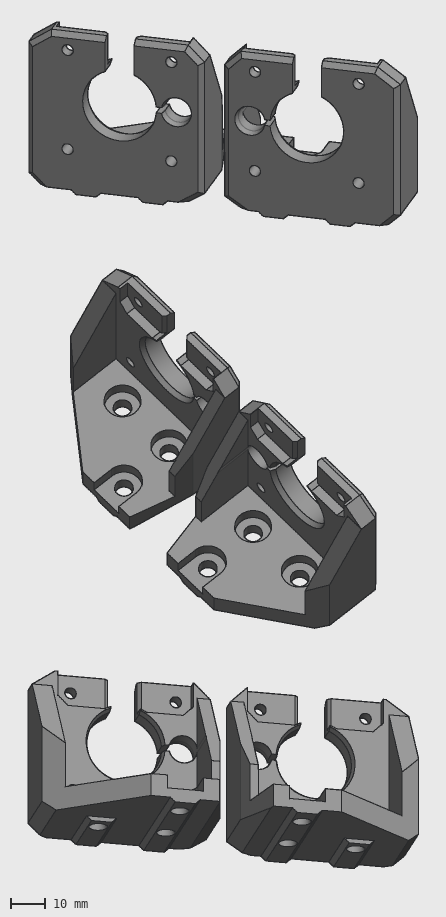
import cadquery as cq

pair_width = 111.0
bracket_gap = 6.0
depth = 39.2
height = 50.2
outer_x = -pair_width / 2
inner_x = -bracket_gap / 2

rib_height = 1.3
base_top = 8.1
rib_foot_width = 8.9
rib_tip_width = 6.0
short_rib_length = 19.4

straight_depth = 19.2
back_outer_x = outer_x + 27.4
back_inner_x = inner_x - 5.0

top_outer_cut = (6.8, 4.7)
top_inner_cut = (4.9, 4.8)
bottom_outer_cut = (3.5, 3.3)
bottom_inner_cut = (4.7, 3.0)
front_chamfer = 1.5

plate_thickness = 7.0
wall_top = height - top_outer_cut[1]
wall_depth = 25.0
wall_end_height = 19.4
outer_wall = 5.9
inner_wall = 3.9

motor_x = outer_x + 27.5
motor_z = 29.4
bore_diameter = 22.0
bore_bevel_depth = 1.7
bore_bevel = 0.7
motor_screw_pitch = 31.0
motor_screw_diameter = 3.3
slot_width = 8.7

recess_width = 40.0
recess_floor_z = 39.8
recess_corner = 3.0
web_thickness = 4.0
rim_radius = 12.1
slot_bevel = 1.0

rod_x = outer_x + 44.5
rod_diameter = 8.3
rod_mouth_diameter = 9.0
rod_mouth_depth = 2.5
slit_width = 1.8

screw_pitch_x = 20.0
screw_outer_x = outer_x + 17.5
screw_inner_x = screw_outer_x + screw_pitch_x
front_screw_y = 15.0
back_screw_y = 32.4
screw_diameter = 5.3
screw_head_diameter = 10.5
screw_head_depth = 4.0


def box(x_range, y_range, z_range):
    """Box between pairs of limits along X, Y and Z."""
    size = [limits[1] - limits[0] for limits in (x_range, y_range, z_range)]
    corner = (x_range[0], y_range[0], z_range[0])
    return cq.Workplane("XY").box(*size, centered=False).translate(corner)


def along_y(points, y_start, y_end):
    """Prism along +Y with an outline of (x, z) points."""
    prism = cq.Workplane("XZ").polyline(points).close().extrude(y_start - y_end)
    return prism.translate((0, y_start, 0))


def round_along_y(x, z, radius, y_start, y_end):
    """Round bar along +Y."""
    bar = cq.Workplane("XZ").center(x, z).circle(radius).extrude(y_start - y_end)
    return bar.translate((0, y_start, 0))


def cone_along_y(x, z, start_radius, end_radius, y_start, y_end):
    """Cone along +Y whose radius changes from start_radius to end_radius."""
    cone = cq.Solid.makeCone(
        start_radius, end_radius, y_end - y_start, cq.Vector(x, y_start, z), cq.Vector(0, 1, 0)
    )
    return cq.Workplane(cone)


def chamfered_block():
    """Full-depth block with cut corners and a chamfered front, flat underneath."""
    outer_run = bottom_outer_cut[0] * (1 + rib_height / bottom_outer_cut[1])
    inner_run = bottom_inner_cut[0] * (1 + rib_height / bottom_inner_cut[1])
    outline = [
        (outer_x, rib_height + bottom_outer_cut[1]),
        (outer_x + outer_run, 0),
        (inner_x - inner_run, 0),
        (inner_x, rib_height + bottom_inner_cut[1]),
        (inner_x, height - top_inner_cut[1]),
        (inner_x - top_inner_cut[0], height),
        (outer_x + top_outer_cut[0], height),
        (outer_x, height - top_outer_cut[1]),
    ]
    block = along_y(outline, 0, depth)
    block = block.faces("<Y").edges("not(<Z)").chamfer(front_chamfer)
    return block.cut(box((outer_x, inner_x), (0, depth), (0, rib_height)))


def side_envelope():
    """Side shape: tall plate, sloping walls and low base."""
    points = [
        (0, 0),
        (depth, 0),
        (depth, base_top),
        (wall_depth, base_top),
        (wall_depth, wall_end_height),
        (plate_thickness, wall_top),
        (plate_thickness, height),
        (0, height),
    ]
    profile = cq.Workplane("YZ").polyline(points).close().extrude(inner_x - outer_x)
    return profile.translate((outer_x, 0, 0))


def plan_envelope():
    """Plan shape: straight at the front, narrower at the back."""
    points = [
        (outer_x, 0),
        (inner_x, 0),
        (inner_x, straight_depth),
        (back_inner_x, depth),
        (back_outer_x, depth),
        (outer_x, straight_depth),
    ]
    return cq.Workplane("XY").polyline(points).close().extrude(height)


def rib(x, length):
    """Tapered rib under the base, centred on x."""
    points = [
        (x - rib_foot_width / 2, rib_height),
        (x - rib_tip_width / 2, 0),
        (x + rib_tip_width / 2, 0),
        (x + rib_foot_width / 2, rib_height),
    ]
    return along_y(points, 0, length)


def motor_space():
    """Room for the motor between the side walls."""
    return box((outer_x + outer_wall, inner_x - inner_wall), (plate_thickness, depth), (base_top, height))


def plate_recess():
    """Recess in the back of the plate, with the rim of the bore standing up in its floor."""
    half = recess_width / 2
    points = [
        (motor_x - half, height),
        (motor_x - half, recess_floor_z + recess_corner),
        (motor_x - half + recess_corner, recess_floor_z),
        (motor_x + half - recess_corner, recess_floor_z),
        (motor_x + half, recess_floor_z + recess_corner),
        (motor_x + half, height),
    ]
    recess = along_y(points, web_thickness, plate_thickness)
    return recess.cut(round_along_y(motor_x, motor_z, rim_radius, web_thickness, plate_thickness))


def motor_bore():
    """Bore with a bevelled back edge and the slot that opens it to the top."""
    radius = bore_diameter / 2
    bevel_start = plate_thickness - bore_bevel_depth
    bore = round_along_y(motor_x, motor_z, radius, 0, plate_thickness)
    bevel = cone_along_y(motor_x, motor_z, radius, radius + bore_bevel, bevel_start, plate_thickness)
    half = slot_width / 2
    slot = box((motor_x - half, motor_x + half), (0, plate_thickness), (motor_z, height))
    return bore.union(bevel).union(slot)


def slot_bevels():
    """Bevels on both back edges of the slot, above the rim of the bore."""
    half = slot_width / 2
    points = [
        (motor_x - half, web_thickness - slot_bevel),
        (motor_x + half, web_thickness - slot_bevel),
        (motor_x + half + slot_bevel, web_thickness),
        (motor_x - half - slot_bevel, web_thickness),
    ]
    wedge = cq.Workplane("XY").polyline(points).close().extrude(height - recess_floor_z)
    wedge = wedge.translate((0, 0, recess_floor_z))
    return wedge.cut(round_along_y(motor_x, motor_z, rim_radius, 0, plate_thickness))


def motor_screw_holes():
    """Four holes on a square around the motor axis."""
    holes = cq.Workplane("XZ").center(motor_x, motor_z).rect(
        motor_screw_pitch, motor_screw_pitch, forConstruction=True
    )
    return holes.vertices().circle(motor_screw_diameter / 2).extrude(-plate_thickness)


def rod_hole():
    """Rod hole with a flared mouth, and the slit to the motor bore."""
    hole = round_along_y(rod_x, motor_z, rod_diameter / 2, 0, depth)
    mouth = cone_along_y(rod_x, motor_z, rod_mouth_diameter / 2, rod_diameter / 2, 0, rod_mouth_depth)
    slit_z = (motor_z - slit_width / 2, motor_z + slit_width / 2)
    slit = box((motor_x, rod_x), (0, plate_thickness), slit_z)
    return hole.union(mouth).union(slit)


def base_screw_hole(x, y):
    """Through hole with a counterbore from above."""
    shank = cq.Workplane("XY").center(x, y).circle(screw_diameter / 2).extrude(base_top)
    head = cq.Workplane("XY").center(x, y).circle(screw_head_diameter / 2).extrude(screw_head_depth)
    return shank.union(head.translate((0, 0, base_top - screw_head_depth)))


def back_head_opening():
    """Opening that leads the back counterbore out through the back edge."""
    half = screw_head_diameter / 2
    z_range = (base_top - screw_head_depth, base_top)
    return box((screw_inner_x - half, screw_inner_x + half), (back_screw_y, depth), z_range)


def make_bracket():
    """Motor bracket on the -X side."""
    body = chamfered_block().intersect(side_envelope()).intersect(plan_envelope())
    body = body.union(rib(screw_outer_x, short_rib_length)).union(rib(screw_inner_x, depth))
    body = body.cut(motor_space()).cut(plate_recess())
    body = body.cut(motor_bore()).cut(slot_bevels())
    body = body.cut(motor_screw_holes()).cut(rod_hole())
    base_screws = [
        (screw_outer_x, front_screw_y),
        (screw_inner_x, front_screw_y),
        (screw_inner_x, back_screw_y),
    ]
    for x, y in base_screws:
        body = body.cut(base_screw_hole(x, y))
    return body.cut(back_head_opening())


left_bracket = make_bracket()
right_bracket = left_bracket.mirror("YZ")

result = cq.Compound.makeCompound([left_bracket.val(), right_bracket.val()])